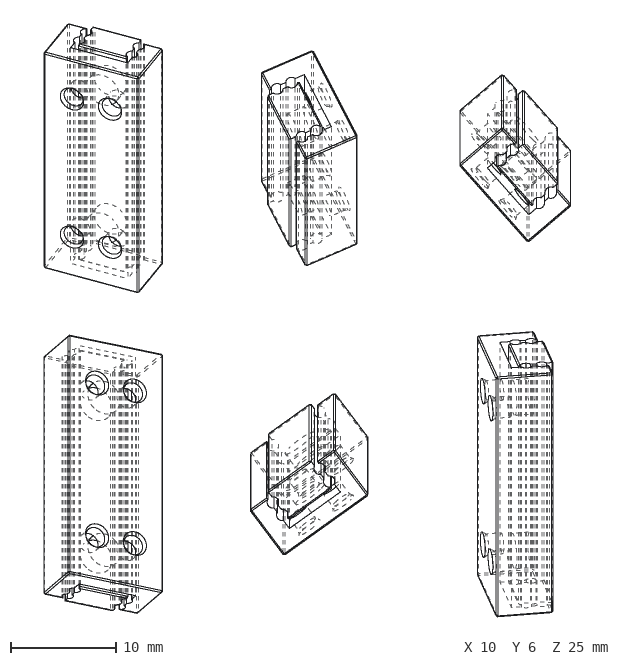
import cadquery as cq

length = 25.0
edge_chamfer = 0.15

housing_width = 10.0
housing_height = 5.5
channel_width = 6.0
channel_floor = 1.85

carriage_width = 5.05
carriage_top = 6.0
carriage_bottom = 2.6

groove_diameter = 1.1
groove_heights = (3.3, 4.82)
groove_offset = (channel_width + carriage_width) / 4

hole_spacing_z = 16.0
hole_spacing_x = 4.0
housing_hole_diameter = 2.0
housing_hole_mouth = 2.45
housing_hole_cone_angle = 60
carriage_hole_diameter = 3.4
carriage_hole_depth = 1.7


def block(width, bottom, top):
    """Full-length block centred on X and Z, between two heights along Y."""
    return cq.Workplane("XY").box(width, top - bottom, length).translate((0, (bottom + top) / 2, 0))


def ball_grooves():
    """Four cylinders, two on each side, that cut the ball tracks."""
    centres = [(side * groove_offset, height) for side in (-1, 1) for height in groove_heights]
    return (
        cq.Workplane("XY")
        .workplane(offset=-length / 2)
        .pushPoints(centres)
        .circle(groove_diameter / 2)
        .extrude(length)
    )


def make_housing():
    """Chamfered block with an open channel, ball tracks and four countersunk through holes."""
    housing = block(housing_width, 0, housing_height).edges().chamfer(edge_chamfer)
    housing = housing.cut(block(channel_width, channel_floor, housing_height))
    housing = housing.cut(ball_grooves())
    return (
        housing.copyWorkplane(cq.Workplane("XZ"))
        .rarray(hole_spacing_x, hole_spacing_z, 2, 2)
        .cskHole(housing_hole_diameter, housing_hole_mouth, housing_hole_cone_angle, depth=channel_floor)
    )


def make_carriage():
    """Block with ball tracks, chamfered edges and two flat-bottomed holes in its underside."""
    carriage = block(carriage_width, carriage_bottom, carriage_top)
    carriage = carriage.faces(">Y").edges().chamfer(edge_chamfer)
    carriage = carriage.faces("<Y").edges("|X").chamfer(edge_chamfer)
    carriage = carriage.cut(ball_grooves())
    screw_holes = (
        cq.Workplane("XZ", origin=(0, carriage_bottom, 0))
        .rarray(0.25, hole_spacing_z, 1, 2)
        .circle(carriage_hole_diameter / 2)
        .extrude(-carriage_hole_depth)
    )
    return carriage.cut(screw_holes)


housing = make_housing().solids()
carriage = make_carriage().solids()

result = cq.Compound.makeCompound([housing.val(), carriage.val()])